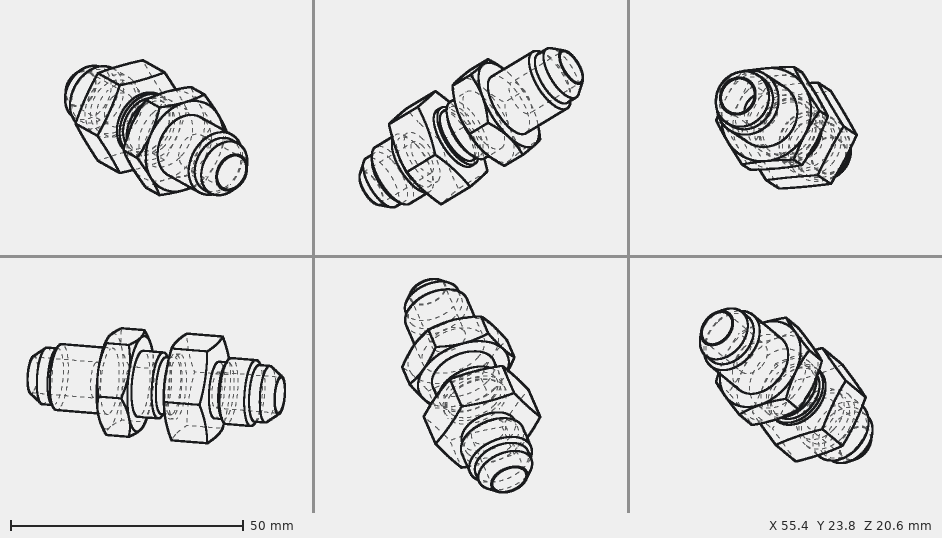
import cadquery as cq
import math


length = 55.37
thread_dia = 14.29
collar_dia = 14.1
neck_dia = 12.28
bore_dia = 7.75
across_flats = 20.625

flare_angle = 37.0
nose_length = 2.7
nose_land = 2.4
nose_shoulder = 0.8

short_thread_end = 11.45
short_neck_start = 12.02
hex_start = 14.09
hex_width = 8.89
collar_width = 1.0
long_neck_end = 26.0
long_thread_start = 26.65
nut_start = 31.17
nut_width = 6.9

hex_chamfer_angle = 15.0
nut_chamfer_angle = 30.0

envelope_margin = 0.25

bore_depth = hex_start

thread_radius = thread_dia / 2
collar_radius = collar_dia / 2
neck_radius = neck_dia / 2
tip_radius = neck_radius - nose_length * math.tan(math.radians(flare_angle))
collar_end = hex_start + hex_width + collar_width
land_end = nose_length + nose_land
nose_end = land_end + nose_shoulder


def revolve_about_x(outline):
    """Revolve a list of (x, radius) points, closed along the X axis."""
    return (
        cq.Workplane("XY")
        .polyline(outline)
        .close()
        .revolve(360, (0, 0, 0), (1, 0, 0))
    )


def make_body():
    """Turned body with both noses, threads, necks and the collar."""
    nose = [
        (0, 0),
        (0, tip_radius),
        (nose_length, neck_radius),
        (land_end, neck_radius),
        (nose_end, thread_radius),
    ]
    middle = [
        (short_thread_end, thread_radius),
        (short_neck_start, neck_radius),
        (hex_start, neck_radius),
        (hex_start, collar_radius),
        (collar_end, collar_radius),
        (collar_end, neck_radius),
        (long_neck_end, neck_radius),
        (long_thread_start, thread_radius),
    ]
    far_nose = [(length - x, radius) for x, radius in reversed(nose)]
    return revolve_about_x(nose + middle + far_nose)


def make_hexagon(start, width, chamfer_angle):
    """Hexagon with flats facing +Z and -Z, its corners chamfered at both ends."""
    flat_radius = across_flats / 2
    corner_radius = flat_radius / math.cos(math.radians(30))
    prism = (
        cq.Workplane("YZ", origin=(start, 0, 0))
        .polygon(6, 2 * corner_radius)
        .extrude(width)
    )
    envelope_radius = corner_radius + envelope_margin
    rise = (envelope_radius - flat_radius) * math.tan(math.radians(chamfer_angle))
    end = start + width
    envelope = revolve_about_x([
        (start, 0),
        (start, flat_radius),
        (start + rise, envelope_radius),
        (end - rise, envelope_radius),
        (end, flat_radius),
        (end, 0),
    ])
    return prism.intersect(envelope)


def make_bore(start):
    """Cylinder for a blind bore, running in +X from the given station."""
    return (
        cq.Workplane("YZ", origin=(start, 0, 0))
        .circle(bore_dia / 2)
        .extrude(bore_depth)
    )


fixed_hexagon = make_hexagon(hex_start, hex_width, hex_chamfer_angle)
lock_nut = make_hexagon(nut_start, nut_width, nut_chamfer_angle)

result = make_body().union(fixed_hexagon).union(lock_nut)
for bore_start in (0, length - bore_depth):
    result = result.cut(make_bore(bore_start))
result = result.translate((-length / 2, 0, 0))